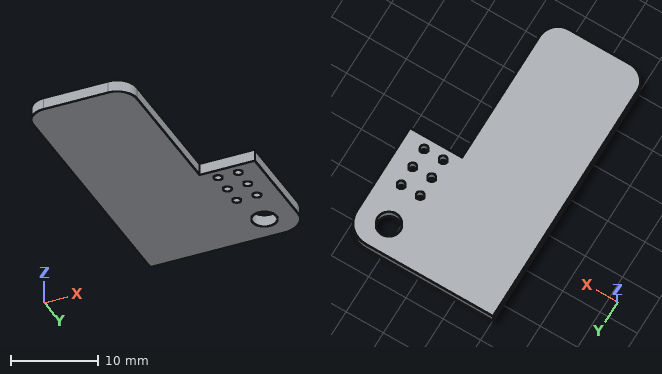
import cadquery as cq

length = 34.52
width = 20.05
thickness = 1.6

stem_width = 13.1
tab_length = 14.8
stem_left_radius = 2.4
stem_right_radius = 2.52
tab_radius = 3.0

mount_diameter = 3.0
mount_from_right = 4.0
mount_from_top = 3.5

pin_diameter = 1.0
pin_pitch = 2.55
pin_columns = 2
pin_rows = 3
pin_from_right = 2.73
pin_from_step = 1.38

step_y = length - tab_length


def make_plate():
    """L-shaped plate with its lower left corner at the origin."""
    plate = (
        cq.Workplane("XY")
        .polyline([
            (0, 0),
            (stem_width, 0),
            (stem_width, step_y),
            (width, step_y),
            (width, length),
            (0, length),
        ])
        .close()
        .extrude(thickness)
    )
    rounded_corners = [
        ((0, 0), stem_left_radius),
        ((stem_width, 0), stem_right_radius),
        ((width, length), tab_radius),
    ]
    for (x, y), radius in rounded_corners:
        corner = cq.selectors.NearestToPointSelector((x, y, thickness / 2))
        plate = plate.edges("|Z").edges(corner).fillet(radius)
    return plate


def make_through_holes(centers, diameter):
    """Cylinders that pass through the full plate thickness."""
    return cq.Workplane("XY").pushPoints(centers).circle(diameter / 2).extrude(thickness)


mount_center = (width - mount_from_right, length - mount_from_top)
pin_centers = [
    (width - pin_from_right - column * pin_pitch, step_y + pin_from_step + row * pin_pitch)
    for column in range(pin_columns)
    for row in range(pin_rows)
]

result = (
    make_plate()
    .cut(make_through_holes([mount_center], mount_diameter))
    .cut(make_through_holes(pin_centers, pin_diameter))
)